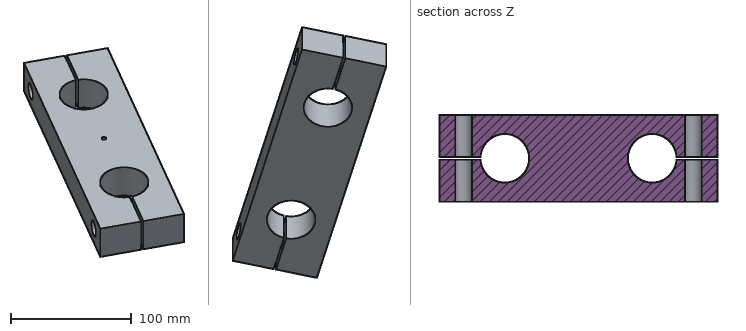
import cadquery as cq

length = 230.0
width = 72.0
height = 30.0

bore_diameter = 40.0
bore_spacing = 122.0
slit_width = 2.0

bolt_hole_diameter = 13.8
bolt_hole_spacing = 190.0

center_mark_diameter = 3.7
pilot_diameter = 1.2
pilot_depth = 3.5
center_mark_angle = 90


def make_block():
    return cq.Workplane("XY").box(length, width, height)


def cut_clamping_bores(body):
    centers = [(-bore_spacing / 2, 0), (bore_spacing / 2, 0)]
    return body.faces(">Z").workplane().pushPoints(centers).hole(bore_diameter)


def cut_slits(body):
    slit_length = (length - bore_spacing) / 2
    slit_center = (length + bore_spacing) / 4
    for side in (-1, 1):
        slit = cq.Workplane("XY").box(slit_length, slit_width, height)
        body = body.cut(slit.translate((side * slit_center, 0, 0)))
    return body


def cut_bolt_holes(body):
    centers = [(-bolt_hole_spacing / 2, 0), (bolt_hole_spacing / 2, 0)]
    holes = (
        cq.Workplane("XZ")
        .pushPoints(centers)
        .circle(bolt_hole_diameter / 2)
        .extrude(width / 2, both=True)
    )
    return body.cut(holes)


def cut_center_mark(body):
    return (
        body.faces(">Z")
        .workplane(origin=(0, 0, 0))
        .cskHole(pilot_diameter, center_mark_diameter, center_mark_angle, depth=pilot_depth)
    )


result = make_block()
result = cut_clamping_bores(result)
result = cut_slits(result)
result = cut_bolt_holes(result)
result = cut_center_mark(result)